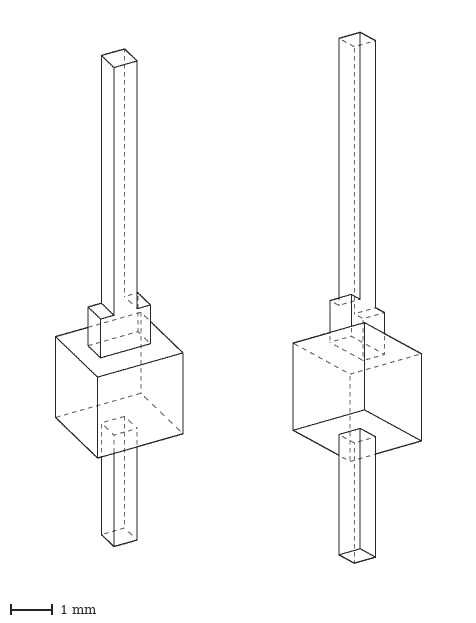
import cadquery as cq

total_length = 13.54
pin_width = 0.64

block_x = 2.13
block_y = 2.34
block_height = 2.29
tail_length = 3.15

shoulder_y = 1.37
shoulder_height = 1.1

block_top = tail_length + block_height


def centred_box(size_x, size_y, bottom, height):
    """Box centred on the Z axis, rising from the given level."""
    return (
        cq.Workplane("XY")
        .workplane(offset=bottom)
        .rect(size_x, size_y)
        .extrude(height)
    )


pin = centred_box(pin_width, pin_width, 0, total_length)
block = centred_box(block_x, block_y, tail_length, block_height)
shoulder = centred_box(pin_width, shoulder_y, block_top, shoulder_height)

result = pin.union(block).union(shoulder)